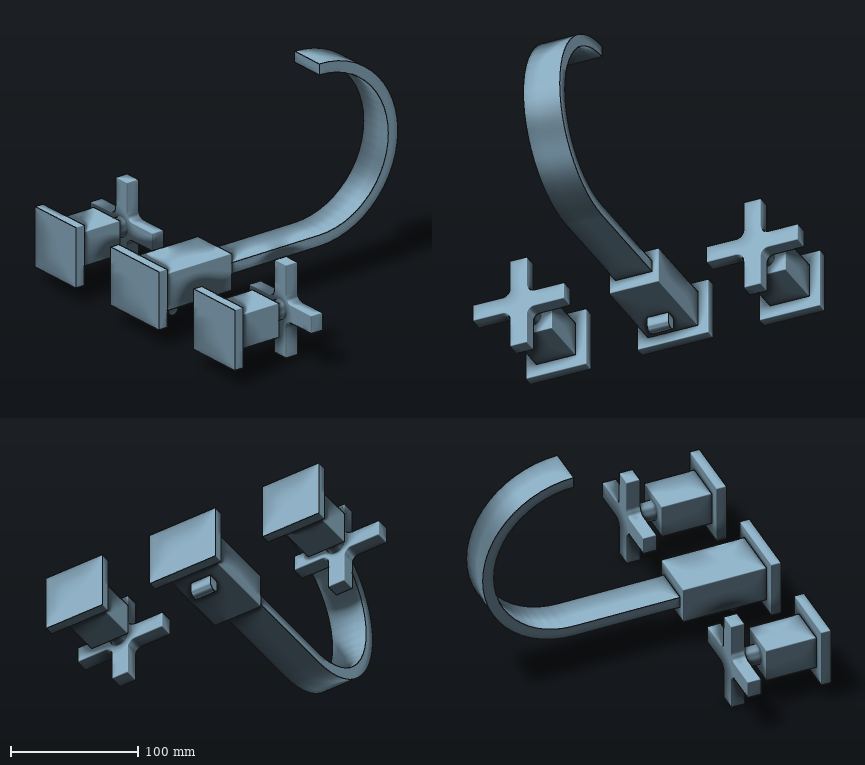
import cadquery as cq


EDGE_ROUND = 0.7
PLATE_THICKNESS = 8.5

SPOUT_PLATE_WIDTH = 62.3
SPOUT_PLATE_HEIGHT = 50.0
SPOUT_BLOCK_WIDTH = 43.5
SPOUT_BLOCK_HEIGHT = 31.7
SPOUT_BLOCK_END = 80.0
RIBBON_WIDTH = 31.7
RIBBON_THICKNESS = 9.5
BEND_RADIUS = 78.5
SPOUT_REACH = 249.9
TAB_WIDTH = 18.5
TAB_THICKNESS = 9.5
TAB_CENTER_Y = 31.0
TAB_DROP = 28.0

OVERALL_WIDTH = 283.0
CROSS_SPAN = 79.8
ARM_WIDTH = 15.3
CROSS_START = 65.6
CROSS_END = 77.5
CROSS_CORNER_RADIUS = 6.5
STEM_DIAMETER = 16.5
HANDLE_PLATE_WIDTH = 53.2
HANDLE_PLATE_HEIGHT = 52.0
HANDLE_BLOCK_WIDTH = 34.2
HANDLE_BLOCK_HEIGHT = 29.5
HANDLE_BLOCK_END = 51.5
HANDLE_OFFSET = (OVERALL_WIDTH - CROSS_SPAN) / 2


def bar(width, height, start, end):
    """Rectangular bar along Y, centred on the axis."""
    return cq.Workplane("XY").box(width, end - start, height).translate((0, (start + end) / 2, 0))


def rounded_bar(width, height, start, end):
    """Bar with rounded edges, except those around its face nearest Y = 0."""
    return bar(width, height, start, end).edges("|Y or >Y").fillet(EDGE_ROUND)


def plated_block(plate_width, plate_height, block_width, block_height, block_end):
    """Back plate with a rectangular block standing on it."""
    plate = rounded_bar(plate_width, plate_height, 0, PLATE_THICKNESS)
    block = rounded_bar(block_width, block_height, PLATE_THICKNESS, block_end)
    return plate.union(block)


def spout_ribbon():
    """Flat ribbon that runs straight out of the block, then bends up and back in a half circle."""
    bottom = -RIBBON_THICKNESS / 2
    top = RIBBON_THICKNESS / 2
    bend_y = SPOUT_REACH - BEND_RADIUS
    bend_z = bottom + BEND_RADIUS
    inner_radius = BEND_RADIUS - RIBBON_THICKNESS
    return (
        cq.Workplane("YZ")
        .moveTo(SPOUT_BLOCK_END, bottom)
        .lineTo(bend_y, bottom)
        .threePointArc((SPOUT_REACH, bend_z), (bend_y, bend_z + BEND_RADIUS))
        .lineTo(bend_y, bend_z + inner_radius)
        .threePointArc((bend_y + inner_radius, bend_z), (bend_y, top))
        .lineTo(SPOUT_BLOCK_END, top)
        .close()
        .extrude(RIBBON_WIDTH / 2, both=True)
    )


def spout_tab():
    """Round-ended tab hanging below the spout block."""
    radius = TAB_THICKNESS / 2
    tip_center_z = radius - TAB_DROP
    return (
        cq.Workplane("YZ")
        .moveTo(TAB_CENTER_Y - radius, 0)
        .lineTo(TAB_CENTER_Y - radius, tip_center_z)
        .threePointArc((TAB_CENTER_Y, -TAB_DROP), (TAB_CENTER_Y + radius, tip_center_z))
        .lineTo(TAB_CENTER_Y + radius, 0)
        .close()
        .extrude(TAB_WIDTH / 2, both=True)
    )


def make_spout():
    base = plated_block(
        SPOUT_PLATE_WIDTH, SPOUT_PLATE_HEIGHT, SPOUT_BLOCK_WIDTH, SPOUT_BLOCK_HEIGHT, SPOUT_BLOCK_END
    )
    return base.union(spout_ribbon()).union(spout_tab())


def handle_cross():
    """Four-armed grip with rounded inside corners and softened edges."""
    level_arms = bar(CROSS_SPAN, ARM_WIDTH, CROSS_START, CROSS_END)
    upright_arms = bar(ARM_WIDTH, CROSS_SPAN, CROSS_START, CROSS_END)
    inside = ARM_WIDTH / 2 + EDGE_ROUND
    inside_corners = cq.selectors.BoxSelector(
        (-inside, CROSS_START, -inside), (inside, CROSS_END, inside)
    )
    cross = level_arms.union(upright_arms).edges("|Y").edges(inside_corners).fillet(CROSS_CORNER_RADIUS)
    tip_faces = "<X or >X or <Z or >Z"
    return cross.faces(f"<Y or >Y or {tip_faces}").edges().fillet(EDGE_ROUND)


def handle_stem():
    """Round stem between block and cross, flared by a small concave round at both ends."""
    radius = STEM_DIAMETER / 2
    flare_radius = radius + EDGE_ROUND
    return (
        cq.Workplane("XY")
        .moveTo(0, HANDLE_BLOCK_END)
        .lineTo(flare_radius, HANDLE_BLOCK_END)
        .radiusArc((radius, HANDLE_BLOCK_END + EDGE_ROUND), EDGE_ROUND)
        .lineTo(radius, CROSS_START - EDGE_ROUND)
        .radiusArc((flare_radius, CROSS_START), EDGE_ROUND)
        .lineTo(0, CROSS_START)
        .close()
        .revolve(360, (0, 0, 0), (0, 1, 0))
    )


def make_handle(center_x):
    base = plated_block(
        HANDLE_PLATE_WIDTH, HANDLE_PLATE_HEIGHT, HANDLE_BLOCK_WIDTH, HANDLE_BLOCK_HEIGHT, HANDLE_BLOCK_END
    )
    handle = base.union(handle_stem()).union(handle_cross())
    return handle.translate((center_x, 0, 0))


spout = make_spout()
handles = [make_handle(side * HANDLE_OFFSET) for side in (-1, 1)]

result = cq.Compound.makeCompound([spout.val(), *[handle.val() for handle in handles]])